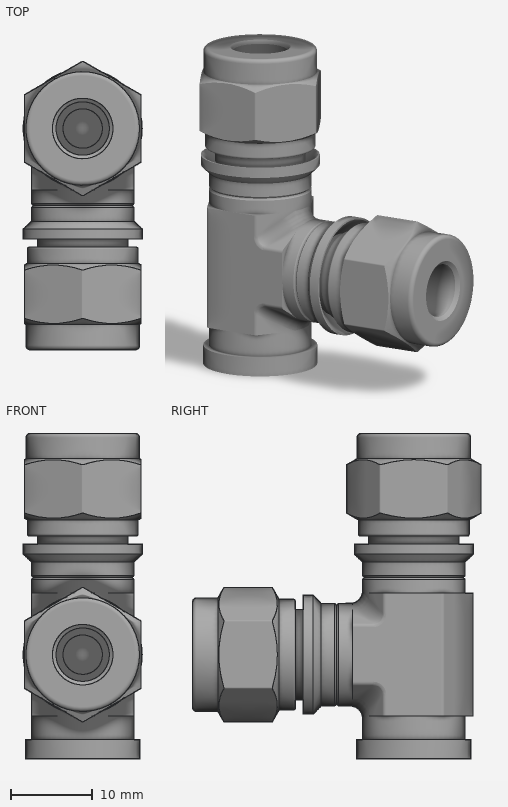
import cadquery as cq
import math


body_reach = 7.53
body_half_width = 6.3
crease_fillet = 1.45
body_edge_fillet = 0.5

groove_middle = 9.45
cone_start = 11.35
collar_start = 12.3
neck_start = 12.83
collar_end = 13.55
nut_start = 14.5
hex_start = 16.5
hex_end = 24.0
arm_end = 27.1

shoulder_diameter = 2 * body_half_width
collar_diameter = 14.6
rim_width = 0.25
core_diameter = 10.1
neck_diameter = 11.1
nut_skirt_diameter = 13.6
cap_diameter = 13.9
hex_across_flats = 14.3
hex_edge_fillet = 0.2
hex_chamfer_angle = 30
groove_depth = 0.25
skirt_fillet = 0.28
cap_fillet = 0.5

tube_bore_diameter = 6.55
tube_bore_end = 11.85
flow_bore_diameter = 4.82
flow_bore_end = body_reach
bore_chamfer = 0.45

flange_diameter = 14.0
flange_top = -10.4
flange_bottom = -12.75

HEX_HALF_ANGLE = math.radians(30)
TOLERANCE = 0.005


def cylinder(diameter, start, end):
    """Cylinder on the Z axis between two heights."""
    return cq.Workplane("XY").workplane(offset=start).circle(diameter / 2).extrude(end - start)


def point_arm_forward(solid):
    """Turn a solid built along +Z so that it points along -Y."""
    return solid.rotate((0, 0, 0), (1, 0, 0), 90)


def hex_prism(rounded_back, start, end):
    """Hexagonal bar with flats at +-X; the -Y corner, and optionally the +Y one, is rounded."""
    corner_y = body_half_width * math.tan(HEX_HALF_ANGLE)
    apex_y = body_half_width / math.cos(HEX_HALF_ANGLE)
    tangent_x = body_half_width * math.sin(HEX_HALF_ANGLE)
    tangent_y = body_half_width * math.cos(HEX_HALF_ANGLE)
    outline = (
        cq.Workplane("XY").workplane(offset=start)
        .moveTo(-body_half_width, corner_y)
        .lineTo(-body_half_width, -corner_y)
        .lineTo(-tangent_x, -tangent_y)
        .threePointArc((0, -body_half_width), (tangent_x, -tangent_y))
        .lineTo(body_half_width, -corner_y)
        .lineTo(body_half_width, corner_y)
    )
    if rounded_back:
        outline = (
            outline.lineTo(tangent_x, tangent_y)
            .threePointArc((0, body_half_width), (-tangent_x, tangent_y))
        )
    else:
        outline = outline.lineTo(0, apex_y)
    return outline.close().extrude(end - start)


def make_body():
    """Run and branch bars joined, with filleted creases and rounded side edges.

    The bars start over length so that the crease fillets can run out through the end faces.
    """
    bar_reach = body_reach + crease_fillet
    run = hex_prism(False, -bar_reach, bar_reach)
    branch = point_arm_forward(hex_prism(True, 0, bar_reach))
    body = run.union(branch).clean()

    def is_crease(edge):
        middle = edge.positionAt(0.5)
        on_diagonal = abs(abs(middle.z) + middle.y) < TOLERANCE
        return on_diagonal and abs(middle.z) < bar_reach - TOLERANCE

    def is_side_edge(edge):
        box = edge.BoundingBox()
        on_side = min(abs(box.xmin), abs(box.xmax)) > body_half_width - TOLERANCE
        middle = edge.positionAt(0.5)
        on_end = abs(middle.z) > bar_reach - TOLERANCE or middle.y < TOLERANCE - bar_reach
        return on_side and not on_end

    creases = [edge for edge in body.edges().vals() if is_crease(edge)]
    body = body.newObject(creases).fillet(crease_fillet)
    side_edges = [edge for edge in body.edges().vals() if is_side_edge(edge)]
    body = body.newObject(side_edges).fillet(body_edge_fillet)
    trim_size = 2 * body_reach
    return body.intersect(cq.Workplane("XY").box(trim_size, trim_size, trim_size))


def make_hex_nut():
    """Hexagon with corners on +-Y, its ends trimmed by cones."""
    corner_diameter = hex_across_flats / math.cos(HEX_HALF_ANGLE)
    hexagon = (
        cq.Workplane("XY").workplane(offset=hex_start)
        .polygon(6, corner_diameter).extrude(hex_end - hex_start)
        .edges("|Z").fillet(hex_edge_fillet)
        .rotate((0, 0, 0), (0, 0, 1), 90)
    )
    corner_radius = corner_diameter / 2
    slope = math.tan(math.radians(hex_chamfer_angle))
    cap_drop = (corner_radius - cap_diameter / 2) * slope
    skirt_drop = (corner_radius - nut_skirt_diameter / 2) * slope
    trim = (
        cq.Workplane("XZ")
        .moveTo(0, hex_start)
        .lineTo(nut_skirt_diameter / 2, hex_start)
        .lineTo(corner_radius, hex_start + skirt_drop)
        .lineTo(corner_radius, hex_end - cap_drop)
        .lineTo(cap_diameter / 2, hex_end)
        .lineTo(0, hex_end)
        .close().revolve(360, (0, 0, 0), (0, 1, 0))
    )
    return hexagon.intersect(trim)


def make_arm():
    """Grooved shoulder, dished collar, neck and nut, stacked along +Z."""
    shoulder_radius = shoulder_diameter / 2
    collar_radius = collar_diameter / 2
    core_radius = core_diameter / 2
    dish_bottom = collar_end - (collar_radius - rim_width - core_radius)
    shoulder = (
        cq.Workplane("XZ")
        .moveTo(0, body_reach)
        .lineTo(shoulder_radius, body_reach)
        .lineTo(shoulder_radius, groove_middle - groove_depth)
        .lineTo(shoulder_radius - groove_depth, groove_middle)
        .lineTo(shoulder_radius, groove_middle + groove_depth)
        .lineTo(shoulder_radius, cone_start)
        .lineTo(collar_radius, collar_start)
        .lineTo(collar_radius, collar_end)
        .lineTo(collar_radius - rim_width, collar_end)
        .lineTo(core_radius, dish_bottom)
        .lineTo(0, dish_bottom)
        .close().revolve(360, (0, 0, 0), (0, 1, 0))
    )
    core = cylinder(core_diameter, dish_bottom, neck_start)
    neck = cylinder(neck_diameter, neck_start, nut_start)
    skirt = cylinder(nut_skirt_diameter, nut_start, hex_start).faces("<Z").edges().fillet(skirt_fillet)
    cap = cylinder(cap_diameter, hex_end, arm_end).faces(">Z").edges().fillet(cap_fillet)
    return shoulder.union(core).union(neck).union(skirt).union(make_hex_nut()).union(cap)


def make_socket():
    """Material removed from an arm: chamfered tube bore and the blind flow bore below it."""
    tube_bore_radius = tube_bore_diameter / 2
    flow_bore_radius = flow_bore_diameter / 2
    return (
        cq.Workplane("XZ")
        .moveTo(0, flow_bore_end)
        .lineTo(flow_bore_radius, flow_bore_end)
        .lineTo(flow_bore_radius, tube_bore_end)
        .lineTo(tube_bore_radius, tube_bore_end)
        .lineTo(tube_bore_radius, arm_end - bore_chamfer)
        .lineTo(tube_bore_radius + bore_chamfer, arm_end)
        .lineTo(0, arm_end)
        .close().revolve(360, (0, 0, 0), (0, 1, 0))
    )


def make_lower_end():
    """Plain shoulder with a flange at its foot."""
    shoulder = cylinder(shoulder_diameter, flange_top, -body_reach)
    flange = cylinder(flange_diameter, flange_bottom, flange_top)
    return shoulder.union(flange)


arm = make_arm().cut(make_socket())
result = make_body().union(arm).union(point_arm_forward(arm)).union(make_lower_end())